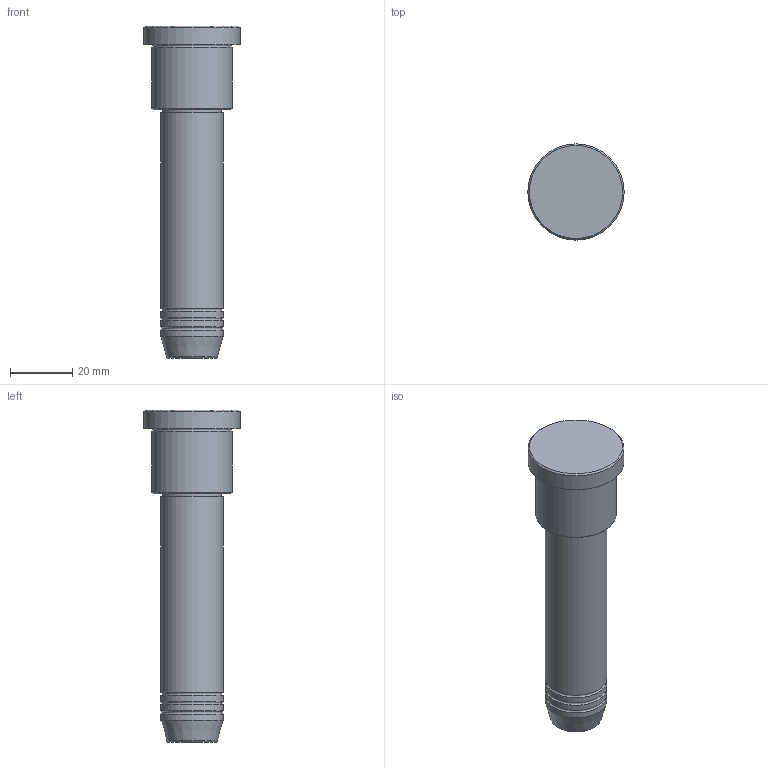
import cadquery as cq

total_length = 107.0
head_diameter = 31.0
head_height = 6.0
collar_diameter = 26.0
collar_end_depth = 27.0
shank_diameter = 20.0
edge_chamfer = 0.5

relief_width = 1.0
relief_depth = 0.5

groove_radius = 0.5
tip_groove_count = 3
tip_groove_pitch = 3.0
lowest_groove_height = 9.5

tip_height = 7.0
tip_taper_angle = 15.0
tip_edge_radius = 0.5

head_bottom = total_length - head_height
collar_bottom = total_length - collar_end_depth


def cylinder(diameter, bottom, top):
    return cq.Workplane("XY").workplane(offset=bottom).circle(diameter / 2).extrude(top - bottom)


def make_head():
    return cylinder(head_diameter, head_bottom, total_length).faces(">Z").chamfer(edge_chamfer)


def make_collar():
    collar = cylinder(collar_diameter, collar_bottom, head_bottom)
    return collar.faces("<Z").chamfer(edge_chamfer)


def make_shank():
    return cylinder(shank_diameter, tip_height, collar_bottom)


def make_tip():
    """Cone that narrows downwards from the shank to a rounded end edge."""
    tip = (
        cq.Workplane("XY")
        .workplane(offset=tip_height)
        .circle(shank_diameter / 2)
        .extrude(-tip_height, taper=tip_taper_angle)
    )
    return tip.faces("<Z").edges().fillet(tip_edge_radius)


def make_relief():
    """Square-section ring directly below the collar."""
    bottom = collar_bottom - relief_width
    core = cylinder(shank_diameter - 2 * relief_depth, bottom, collar_bottom)
    return cylinder(shank_diameter, bottom, collar_bottom).cut(core)


def make_groove(diameter, middle):
    """Torus that cuts a half-round groove into a cylinder."""
    center = cq.Vector(0, 0, middle)
    axis = cq.Vector(0, 0, 1)
    return cq.Workplane(cq.Solid.makeTorus(diameter / 2, groove_radius, center, axis))


result = make_head().union(make_collar()).union(make_shank()).union(make_tip())
result = result.cut(make_relief())
result = result.cut(make_groove(collar_diameter, head_bottom - groove_radius))
for index in range(tip_groove_count):
    groove_middle = lowest_groove_height + index * tip_groove_pitch
    result = result.cut(make_groove(shank_diameter, groove_middle))
result = cq.Workplane(result.solids().val())